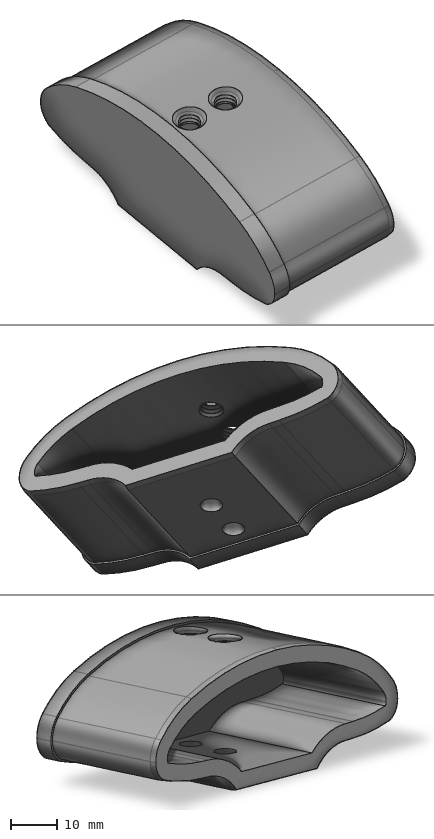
import cadquery as cq
import math

length = 79.9
height = 30.3
depth = 34.0
half_length = length / 2

crown_radius = 68.7
crown_end_angle = 24.0
shoulder_radius = 28.2
shoulder_end_angle = 50.0
tip_end_angle = 90.0
corner_mid = (39.3, 8.9)
corner_end = (37.0, 6.55)
underside_mid = (32.5, 5.4)
underside_end = (24.8, 4.6)
neck_start = (22.4, 4.55)
neck_mid = (17.5, 3.4)
foot_half_width = 13.4

flange_thickness = 4.15
body_inset = 0.5
wall = 4.0
rim_length = 1.4
rim_taper = 0.2

hole_positions = (8.95, 19.0)
thread_minor = 4.9
thread_major = 6.0
thread_pitch = 1.0
thread_turns = 4
countersink_diameter = 7.5
minor_radius = thread_minor / 2
major_radius = thread_major / 2
countersink_radius = countersink_diameter / 2
crown_z = height - body_inset
countersink_depth = countersink_radius - major_radius


def mirrored(point):
    return (-point[0], point[1])


def crown_arcs():
    """Mid and end points of three tangent arcs running from the apex to the side tip.

    Angles are measured from vertical; the last radius makes the tip reach half the length.
    """
    crown_sine = math.sin(math.radians(crown_end_angle))
    shoulder_sine = math.sin(math.radians(shoulder_end_angle))
    reach = crown_radius * crown_sine + shoulder_radius * (shoulder_sine - crown_sine)
    tip_radius = (half_length - reach) / (1 - shoulder_sine)
    stretches = [
        (crown_radius, crown_end_angle),
        (shoulder_radius, shoulder_end_angle),
        (tip_radius, tip_end_angle),
    ]
    arcs = []
    x, z = 0, height
    start_angle = 0
    for radius, end_angle in stretches:
        start = math.radians(start_angle)
        end = math.radians(end_angle)
        middle = (start + end) / 2
        center_x = x - radius * math.sin(start)
        center_z = z - radius * math.cos(start)
        mid_point = (center_x + radius * math.sin(middle), center_z + radius * math.cos(middle))
        x = center_x + radius * math.sin(end)
        z = center_z + radius * math.cos(end)
        arcs.append((mid_point, (x, z)))
        start_angle = end_angle
    return arcs


def flange_outline(y):
    """Closed outline in the XZ plane at the given y."""
    apex = (0, height)
    foot = (foot_half_width, 0)
    arcs = crown_arcs()
    outline = cq.Workplane("XZ", origin=(0, y, 0)).moveTo(*apex)
    for mid_point, end_point in arcs:
        outline = outline.threePointArc(mid_point, end_point)
    tip = arcs[-1][1]
    outline = (
        outline
        .threePointArc(corner_mid, corner_end)
        .threePointArc(underside_mid, underside_end)
        .lineTo(*neck_start)
        .threePointArc(neck_mid, foot)
        .lineTo(*mirrored(foot))
        .threePointArc(mirrored(neck_mid), mirrored(neck_start))
        .lineTo(*mirrored(underside_end))
        .threePointArc(mirrored(underside_mid), mirrored(corner_end))
        .threePointArc(mirrored(corner_mid), mirrored(tip))
    )
    starts = [apex] + [end_point for _, end_point in arcs[:-1]]
    for (mid_point, _), start_point in zip(reversed(arcs), reversed(starts)):
        outline = outline.threePointArc(mirrored(mid_point), mirrored(start_point))
    return outline.close()


def inset_prism(inset, start, end):
    """Prism along Y whose section is the flange outline moved inward."""
    outline = flange_outline(start).offset2D(-inset)
    return outline.extrude(start - end)


def tapered_rim(start, end):
    """Narrow band whose section shrinks slightly from start to end."""
    wide = flange_outline(start).offset2D(-body_inset)
    narrow = flange_outline(end).offset2D(-body_inset - rim_taper)
    sections = [wide.val(), narrow.val()]
    return cq.Workplane(cq.Solid.makeLoft(sections, True))


def threaded_hole(y):
    """Countersunk bore through both walls, with ring-shaped thread grooves in the top wall."""
    thread_top = crown_z - countersink_depth
    profile = (
        cq.Workplane("XZ", origin=(0, y, 0))
        .moveTo(0, height)
        .lineTo(countersink_radius + body_inset, height)
        .lineTo(major_radius, thread_top)
    )
    for turn in range(thread_turns):
        groove_z = thread_top - turn * thread_pitch
        profile = profile.lineTo(minor_radius, groove_z - thread_pitch / 2)
        if turn < thread_turns - 1:
            profile = profile.lineTo(major_radius, groove_z - thread_pitch)
    profile = profile.lineTo(minor_radius, 0).lineTo(0, 0).close()
    return profile.revolve(360, (0, 0, 0), (0, 1, 0))


flange = flange_outline(0).extrude(-flange_thickness)
rim_start = depth - rim_length
body = inset_prism(body_inset, flange_thickness, rim_start)
rim = tapered_rim(rim_start, depth)
cavity = inset_prism(body_inset + wall, flange_thickness, depth)

result = flange.union(body, clean=False).union(rim, clean=False).cut(cavity, clean=False)
for hole_y in hole_positions:
    result = result.cut(threaded_hole(hole_y), clean=False)